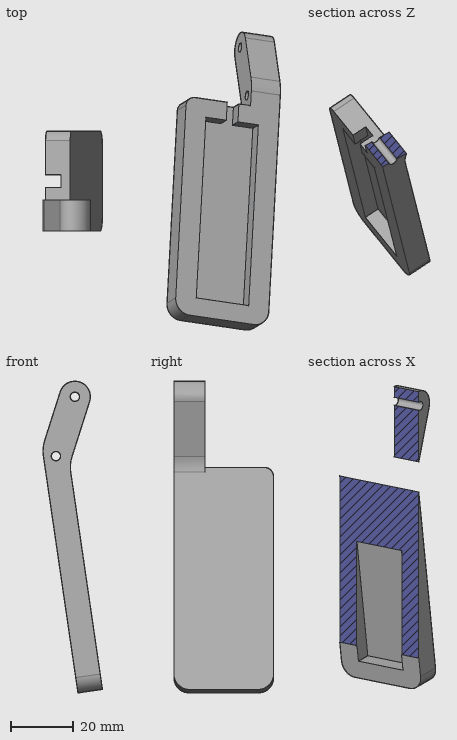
import cadquery as cq
import math

plate_tilt = 8.3
arm_lean = 17.7
bend_angle = plate_tilt + arm_lean

plate_width = 32.0
plate_thickness = 8.0
plate_bottom = -76.3
plate_top = -4.2
bottom_corner_radius = 5.0
top_corner_radius = 3.0

arm_width = 10.0
arm_end_radius = 5.0
pivot_spacing = 20.0
pivot_diameter = 2.9
bend_radius = 11.0

pocket_border = 6.0
pocket_width = 18.0
slot_width = 4.0
pocket_depth = 5.0

front_x = -plate_thickness / 2
back_x = plate_thickness / 2
middle_y = plate_width / 2

bend = math.radians(bend_angle)
arm_direction = (math.sin(bend), math.cos(bend))
upper_pivot = (pivot_spacing * arm_direction[0], pivot_spacing * arm_direction[1])


def arm_side(side):
    """Point beside the upper pivot on one straight side of the arm (-1 front, 1 back)."""
    return (
        upper_pivot[0] + side * arm_end_radius * arm_direction[1],
        upper_pivot[1] - side * arm_end_radius * arm_direction[0],
    )


def bend_corner(side):
    """Sharp corner where a side of the arm meets the matching face of the plate."""
    x = side * plate_thickness / 2
    start_x, start_z = arm_side(side)
    return (x, start_z + (x - start_x) / math.tan(bend))


def make_plate():
    height = plate_top - plate_bottom
    plate = cq.Workplane("XY").box(plate_thickness, plate_width, height, centered=False)
    plate = plate.translate((front_x, 0, plate_bottom))
    plate = plate.edges("|X and <Z").fillet(bottom_corner_radius)
    return plate.edges("|X and >Z and >Y").fillet(top_corner_radius)


def make_arm():
    arm_tip = (
        upper_pivot[0] + arm_end_radius * arm_direction[0],
        upper_pivot[1] + arm_end_radius * arm_direction[1],
    )
    arm_foot = plate_bottom / 2
    arm = (
        cq.Workplane("XZ")
        .moveTo(front_x, arm_foot)
        .lineTo(*bend_corner(-1))
        .lineTo(*arm_side(-1))
        .threePointArc(arm_tip, arm_side(1))
        .lineTo(*bend_corner(1))
        .lineTo(back_x, arm_foot)
        .close()
        .extrude(-arm_width)
    )
    for side in (-1, 1):
        x, z = bend_corner(side)
        corner = cq.selectors.NearestToPointSelector((x, arm_width / 2, z))
        arm = arm.edges("|Y").edges(corner).fillet(bend_radius)
    return arm


def make_pivot_holes():
    return (
        cq.Workplane("XZ")
        .pushPoints([(0, 0), upper_pivot])
        .circle(pivot_diameter / 2)
        .extrude(-arm_width)
    )


def front_recess(width, bottom, top):
    recess = cq.Workplane("XY").box(pocket_depth, width, top - bottom, centered=(False, True, False))
    return recess.translate((front_x, middle_y, bottom))


pocket_bottom = plate_bottom + pocket_border
pocket_top = plate_top - pocket_border
pocket = front_recess(pocket_width, pocket_bottom, pocket_top)
slot = front_recess(slot_width, pocket_bottom, plate_top)

body = make_plate().union(make_arm()).clean()
body = body.cut(make_pivot_holes()).cut(pocket).cut(slot)
result = body.rotate((0, 0, 0), (0, 1, 0), -plate_tilt)